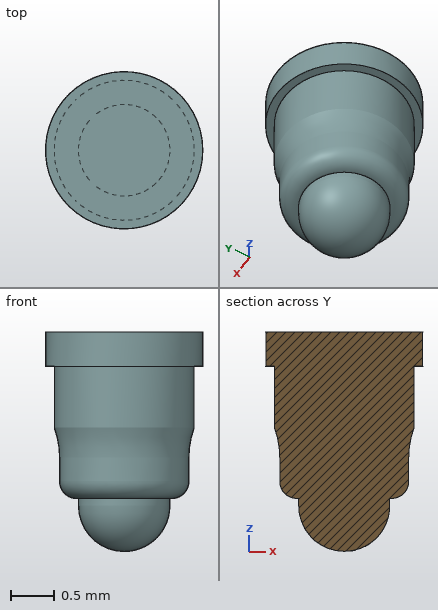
import cadquery as cq
import math

total_height = 2.54

flange_radius = 1.82 / 2
barrel_radius = 1.62 / 2
neck_radius = 1.499 / 2
plunger_radius = 1.06 / 2

flange_thickness = 0.4
neck_top_z = 1.087
neck_bottom_z = 0.612

flare_arc_radius = 1.0
neck_edge_radius = 0.2

flange_bottom_z = total_height - flange_thickness


def flare_point(angle):
    """Point on the concave flare, at an angle measured up from the neck tangency."""
    return (
        neck_radius + flare_arc_radius * (1 - math.cos(angle)),
        neck_top_z + flare_arc_radius * math.sin(angle),
    )


flare_angle = math.acos(1 - (barrel_radius - neck_radius) / flare_arc_radius)

diagonal = math.sqrt(0.5)
neck_edge_middle = (
    neck_radius - neck_edge_radius * (1 - diagonal),
    neck_bottom_z + neck_edge_radius * (1 - diagonal),
)
dome_middle = (plunger_radius * diagonal, plunger_radius * (1 - diagonal))

profile = (
    cq.Workplane("XZ")
    .moveTo(0, 0)
    .threePointArc(dome_middle, (plunger_radius, plunger_radius))
    .lineTo(plunger_radius, neck_bottom_z)
    .lineTo(neck_radius - neck_edge_radius, neck_bottom_z)
    .threePointArc(neck_edge_middle, (neck_radius, neck_bottom_z + neck_edge_radius))
    .lineTo(neck_radius, neck_top_z)
    .threePointArc(flare_point(flare_angle / 2), flare_point(flare_angle))
    .lineTo(barrel_radius, flange_bottom_z)
    .lineTo(flange_radius, flange_bottom_z)
    .lineTo(flange_radius, total_height)
    .lineTo(0, total_height)
    .close()
)

result = profile.revolve(360, (0, 0, 0), (0, 1, 0))